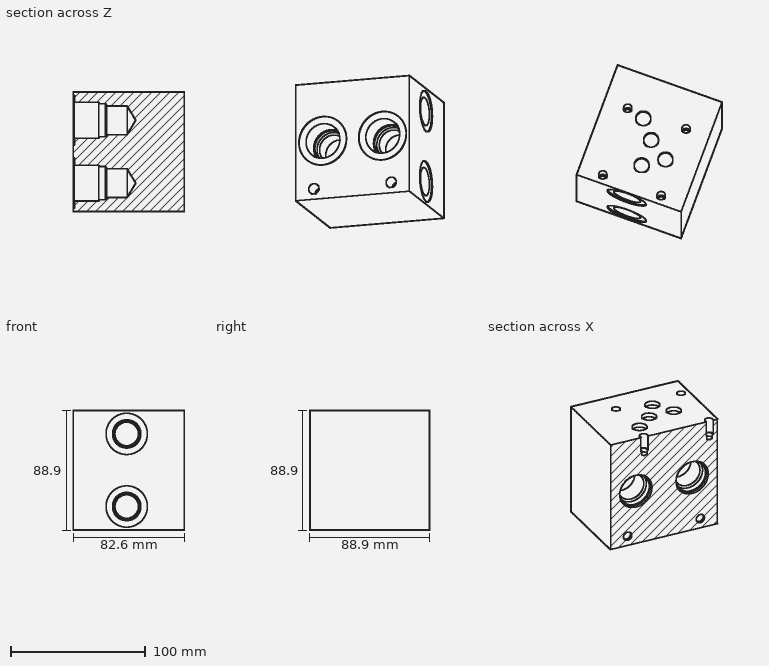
import cadquery as cq
import math

BLOCK_X = 82.6
BLOCK_Y = 88.9
BLOCK_Z = 88.9

DRILL_POINT_ANGLE = 118.0

VALVE_BOLT_X = 18.4
VALVE_BOLT_Y = 6.5
VALVE_BOLT_SPACING_X = 46.05
VALVE_BOLT_SPACING_Y = 54.05
VALVE_BOLT_THREAD_DIAMETER = 6.3
VALVE_BOLT_THREAD_DEPTH = 12.0
VALVE_BOLT_DRILL_DIAMETER = 5.1
VALVE_BOLT_DRILL_DEPTH = 15.1
VALVE_PORT_DIAMETER = 11.1
VALVE_PORT_DEPTH = 3.2
VALVE_PORT_OFFSETS = [(13.5, 50.8), (24.5, 37.3), (39.65, 27.0), (24.5, 16.8)]

FRONT_PORT_X = 39.7
FRONT_PORT_SPACING = 53.9
FRONT_SPOTFACE_DIAMETER = 30.7
FRONT_THREAD_DIAMETER = 21.0
FRONT_THREAD_DEPTH = 16.0
FRONT_TAP_DRILL_DIAMETER = 18.9
FRONT_TAP_DRILL_DEPTH = 19.6
FRONT_PASSAGE_DIAMETER = 17.5
FRONT_PASSAGE_DEPTH = 35.6

SIDE_PORT_SPACING = 46.7
SIDE_SPOTFACE_DIAMETER = 37.1
SIDE_THREAD_DIAMETER = 26.4
SIDE_THREAD_DEPTH = 19.1
SIDE_TAP_DRILL_DIAMETER = 24.45
SIDE_TAP_DRILL_DEPTH = 24.0
SIDE_PASSAGE_DIAMETER = 21.2
SIDE_PASSAGE_DEPTH = 40.0

SPOTFACE_DEPTH = 0.9

MOUNT_SPACING = 60.4
MOUNT_Z = 8.0
MOUNT_THREAD_DIAMETER = 7.9
MOUNT_THREAD_DEPTH = 15.1
MOUNT_DRILL_DIAMETER = 6.5
MOUNT_DRILL_DEPTH = 18.7

INTO_TOP = cq.Vector(0, 0, -1)
INTO_FRONT = cq.Vector(0, 1, 0)
INTO_SIDE = cq.Vector(1, 0, 0)


def flat_hole(mouth, direction, diameter, depth):
    """Cylinder running inward from the mouth, with a flat bottom."""
    return cq.Workplane(cq.Solid.makeCylinder(diameter / 2, depth, mouth, direction))


def drilled_hole(mouth, direction, diameter, depth):
    """Cylinder of the given full-diameter depth, followed by the drill point cone."""
    radius = diameter / 2
    point_length = radius / math.tan(math.radians(DRILL_POINT_ANGLE / 2))
    shoulder = mouth + direction * depth
    point = cq.Solid.makeCone(radius, 0, point_length, shoulder, direction)
    return flat_hole(mouth, direction, diameter, depth).union(cq.Workplane(point))


def tapped_hole(mouth, direction, thread_diameter, thread_depth, drill_diameter, drill_depth):
    """Thread bore over a deeper tap drill hole."""
    thread = flat_hole(mouth, direction, thread_diameter, thread_depth)
    return thread.union(drilled_hole(mouth, direction, drill_diameter, drill_depth))


def valve_bolt_hole(x, y):
    return tapped_hole(
        cq.Vector(x, y, BLOCK_Z), INTO_TOP,
        VALVE_BOLT_THREAD_DIAMETER, VALVE_BOLT_THREAD_DEPTH,
        VALVE_BOLT_DRILL_DIAMETER, VALVE_BOLT_DRILL_DEPTH,
    )


def valve_port(x, y):
    return drilled_hole(cq.Vector(x, y, BLOCK_Z), INTO_TOP, VALVE_PORT_DIAMETER, VALVE_PORT_DEPTH)


def front_port(z):
    mouth = cq.Vector(FRONT_PORT_X, 0, z)
    tapped = tapped_hole(
        mouth, INTO_FRONT,
        FRONT_THREAD_DIAMETER, FRONT_THREAD_DEPTH,
        FRONT_TAP_DRILL_DIAMETER, FRONT_TAP_DRILL_DEPTH,
    )
    spotface = flat_hole(mouth, INTO_FRONT, FRONT_SPOTFACE_DIAMETER, SPOTFACE_DEPTH)
    passage = drilled_hole(mouth, INTO_FRONT, FRONT_PASSAGE_DIAMETER, FRONT_PASSAGE_DEPTH)
    return tapped.union(spotface).union(passage)


def side_port(y):
    mouth = cq.Vector(0, y, BLOCK_Z / 2)
    tapped = tapped_hole(
        mouth, INTO_SIDE,
        SIDE_THREAD_DIAMETER, SIDE_THREAD_DEPTH,
        SIDE_TAP_DRILL_DIAMETER, SIDE_TAP_DRILL_DEPTH,
    )
    spotface = flat_hole(mouth, INTO_SIDE, SIDE_SPOTFACE_DIAMETER, SPOTFACE_DEPTH)
    passage = drilled_hole(mouth, INTO_SIDE, SIDE_PASSAGE_DIAMETER, SIDE_PASSAGE_DEPTH)
    return tapped.union(spotface).union(passage)


def mounting_hole(y):
    return tapped_hole(
        cq.Vector(0, y, MOUNT_Z), INTO_SIDE,
        MOUNT_THREAD_DIAMETER, MOUNT_THREAD_DEPTH,
        MOUNT_DRILL_DIAMETER, MOUNT_DRILL_DEPTH,
    )


result = cq.Workplane("XY").box(BLOCK_X, BLOCK_Y, BLOCK_Z, centered=False)

for bolt_x in (VALVE_BOLT_X, VALVE_BOLT_X + VALVE_BOLT_SPACING_X):
    for bolt_y in (VALVE_BOLT_Y, VALVE_BOLT_Y + VALVE_BOLT_SPACING_Y):
        result = result.cut(valve_bolt_hole(bolt_x, bolt_y))

for offset_x, offset_y in VALVE_PORT_OFFSETS:
    result = result.cut(valve_port(VALVE_BOLT_X + offset_x, VALVE_BOLT_Y + offset_y))

for side in (-1, 1):
    result = result.cut(front_port(BLOCK_Z / 2 + side * FRONT_PORT_SPACING / 2))
    result = result.cut(side_port(BLOCK_Y / 2 + side * SIDE_PORT_SPACING / 2))
    result = result.cut(mounting_hole(BLOCK_Y / 2 + side * MOUNT_SPACING / 2))